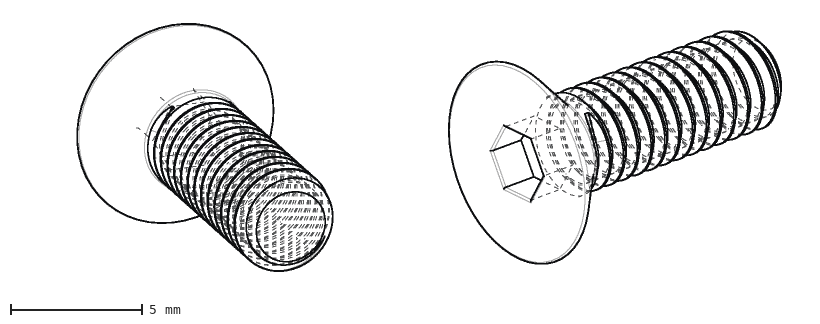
import cadquery as cq
import math

TOTAL_LENGTH = 12.16
HEAD_RADIUS = 4.02
RIM_ROUND = 0.1
NECK_FILLET = 0.21
CONE_HALF_ANGLE = math.radians(45)

SHANK_RADIUS = 2.0
PITCH = 0.7
TRIANGLE_HEIGHT = PITCH * math.sqrt(3) / 2
GROOVE_DEPTH = TRIANGLE_HEIGHT * 5 / 8
ROOT_RADIUS = SHANK_RADIUS - GROOVE_DEPTH
ROOT_WIDTH = PITCH / 4
FLANK_ANGLE = math.radians(30)
THREAD_START_X = 2.59
THREAD_START_ANGLE = 158
CUTTER_OVERLAP = 0.05
TIP_RADIUS = 1.41

SOCKET_ACROSS_FLATS = 2.57
SOCKET_DEPTH = 1.5
SOCKET_SIDES = 6
SOCKET_ROUND = 0.08


def make_blank():
    """Turned body: rounded rim, 90 degree countersunk head, shank and 45 degree tip."""
    face_radius = HEAD_RADIUS - RIM_ROUND
    round_reach = RIM_ROUND * math.sin(CONE_HALF_ANGLE)
    cone_start_x = RIM_ROUND + round_reach
    cone_start_radius = face_radius + round_reach
    neck_x = cone_start_x + cone_start_radius - SHANK_RADIUS
    tip_chamfer = SHANK_RADIUS - TIP_RADIUS
    blank = (
        cq.Workplane("XY")
        .moveTo(0, 0)
        .lineTo(0, face_radius)
        .threePointArc((RIM_ROUND, HEAD_RADIUS), (cone_start_x, cone_start_radius))
        .lineTo(neck_x, SHANK_RADIUS)
        .lineTo(TOTAL_LENGTH - tip_chamfer, SHANK_RADIUS)
        .lineTo(TOTAL_LENGTH, TIP_RADIUS)
        .lineTo(TOTAL_LENGTH, 0)
        .close()
        .revolve(360, (0, 0, 0), (1, 0, 0))
    )
    neck_edge = cq.selectors.BoxSelector(
        (neck_x - NECK_FILLET, -HEAD_RADIUS, -HEAD_RADIUS),
        (neck_x + NECK_FILLET, HEAD_RADIUS, HEAD_RADIUS),
        boundingbox=False,
    )
    return blank.edges("%CIRCLE").edges(neck_edge).fillet(NECK_FILLET)


def groove_profile():
    """Groove section in the XZ plane, for a thread axis along Z."""
    outer_radius = SHANK_RADIUS + CUTTER_OVERLAP
    root_half = ROOT_WIDTH / 2
    outer_half = root_half + (outer_radius - ROOT_RADIUS) * math.tan(FLANK_ANGLE)
    return cq.Workplane("XZ").polyline([
        (ROOT_RADIUS, -root_half),
        (outer_radius, -outer_half),
        (outer_radius, outer_half),
        (ROOT_RADIUS, root_half),
    ]).close()


def place_on_screw(cutter):
    """Turn a cutter from the Z axis onto the X axis and move it to the thread start."""
    along_x = cutter.rotate((0, 0, 0), (0, 1, 0), 90)
    turned = along_x.rotate((0, 0, 0), (1, 0, 0), THREAD_START_ANGLE + 90)
    return turned.translate((THREAD_START_X, 0, 0))


def cut_thread(body):
    """Cut the right-hand groove and its straight tangential runout at the neck."""
    helix_length = TOTAL_LENGTH - THREAD_START_X + PITCH
    helix = cq.Wire.makeHelix(PITCH, helix_length, ROOT_RADIUS)
    groove = groove_profile().sweep(cq.Workplane(obj=helix), isFrenet=True)

    runout_path = cq.Vector(0, -SHANK_RADIUS, 0)
    profile_face = cq.Face.makeFromWires(groove_profile().val())
    runout = cq.Workplane(obj=cq.Solid.extrudeLinear(profile_face, runout_path))

    return body.cut(place_on_screw(groove)).cut(place_on_screw(runout))


def cut_socket(body):
    """Hexagon socket with two flats parallel to Y and a rounded mouth."""
    across_corners = SOCKET_ACROSS_FLATS / math.cos(math.pi / SOCKET_SIDES)
    hexagon = cq.Workplane("YZ").polygon(SOCKET_SIDES, across_corners).extrude(SOCKET_DEPTH)
    socketed = body.cut(hexagon)
    return socketed.faces("<X").edges("%LINE").fillet(SOCKET_ROUND)


result = cut_thread(cut_socket(make_blank()))